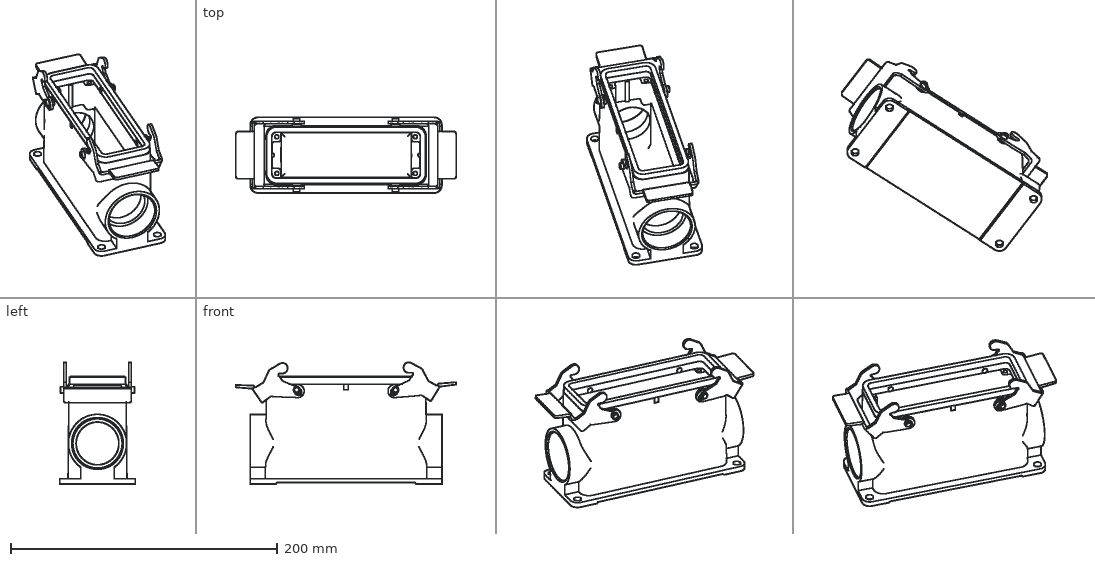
import cadquery as cq
import math

overall_length = 165.8

plate_length = 144.2
plate_width = 57.0
plate_height = 4.1
plate_corner_radius = 6.0
screw_hole_diameter = 5.6
foot_length = 19.4
foot_height = 1.0

body_length = 121.3
body_width = 44.5
body_corner_radius = 7.8
body_top = 75.1
draft_angle = 0.6

rim_length = 119.4
rim_width = 42.3
rim_corner_radius = 7.3
rim_wall = 3.8
dome_rise = 0.8
housing_top = 81.0
dome_base = housing_top - dome_rise
notch_width = 3.3
notch_bottom = 70.8
notch_floor_y = 21.0

mouth_length = rim_length - 2 * rim_wall
mouth_width = rim_width - 2 * rim_wall
mouth_corner_radius = rim_corner_radius - rim_wall
mouth_bottom = 74.6
wall_step = 0.2
upper_length = mouth_length - 4 * wall_step
upper_width = mouth_width - 4 * wall_step
ledge_height = 48.0
well_length = 97.8
well_width = 33.5
well_lip_radius = 2.8
well_floor = 4.1
well_floor_radius = 3.3

post_top = 69.0
post_root = ledge_height - well_lip_radius
post_inner_x = 49.2
post_inner_y = 10.0
post_corner_radius = 2.0
post_fillet_radius = 1.3
post_hole_x = 52.0
post_hole_y = 13.8
post_hole_diameter = 3.0
post_hole_depth = 10.0
drill_tip_angle = 118
rib_diameter = 3.0

entry_height = 30.5
entry_outer_diameter = 43.8
entry_bore_diameter = 37.0
entry_mouth_chamfer = 1.0
entry_bore_depth = 15.3
entry_hole_diameter = 32.0
pedestal_width = 25.2

pin_x = 37.1
pin_z = 70.8
pin_diameter = 4.8
pin_end_y = 28.2
pin_end_chamfer = 0.7
collar_diameter = 7.0
collar_end_y = 22.9
pin_tail_diameter = 4.0
pin_tail_rise = 0.2

lever_width = 50.9
sheet = 2.0
outer_bend_radius = 2.3
inner_bend_radius = 1.7
web_angle = 55.5
web_length = 13.0
web_top = (-33.5, 0.8)
tab_width = 35.8
tab_corner_radius = 2.0
tab_tip_z = 1.8
tab_bend_start = (-33.3, 3.3)
tab_bend_middle = (-32.2, 3.0)
slot_travel = (1.3, -1.8)
right_lever_tilt = 2.6
tilt = math.radians(right_lever_tilt)
tab_tip_x = -(overall_length - 2 * pin_x + tab_tip_z * math.sin(tilt)) / (1 + math.cos(tilt))


def rounded_block(length, width, radius, bottom, top, taper=0):
    """Upright block with rounded corners, centred on the Z axis."""
    outline = cq.Sketch().rect(length, width).vertices().fillet(radius)
    return cq.Workplane("XY", origin=(0, 0, bottom)).placeSketch(outline).extrude(top - bottom, taper=taper)


def x_cylinder(diameter, start, end, taper=0):
    """Cylinder or cone along X at the height of the cable entries."""
    circle = cq.Workplane("YZ", origin=(start, 0, entry_height)).circle(diameter / 2)
    return circle.extrude(end - start, taper=taper)


def pin_section(diameter, start, end):
    """Cylinder along +Y at the origin of a pin."""
    return cq.Workplane("XZ", origin=(0, start, 0)).circle(diameter / 2).extrude(start - end)



def make_base_plate():
    """Plate with four screw holes and a shallow relief between its two feet."""
    hole_x = plate_length / 2 - plate_corner_radius
    hole_y = plate_width / 2 - plate_corner_radius
    plate = rounded_block(plate_length, plate_width, plate_corner_radius, 0, plate_height)
    holes = (
        cq.Workplane("XY")
        .rect(2 * hole_x, 2 * hole_y, forConstruction=True)
        .vertices()
        .circle(screw_hole_diameter / 2)
        .extrude(plate_height)
    )
    foot_x = plate_length / 2 - foot_length
    relief = (
        cq.Workplane("XZ")
        .polyline([
            (-foot_x, 0),
            (-foot_x + foot_height, foot_height),
            (foot_x - foot_height, foot_height),
            (foot_x, 0),
        ])
        .close()
        .extrude(plate_width / 2, both=True)
    )
    return plate.cut(holes).cut(relief)


def make_rim():
    """Straight rim wall closed by a ring with a domed section."""
    wall = rounded_block(rim_length, rim_width, rim_corner_radius, body_top, dome_base)
    middle_outline = cq.Sketch().rect(rim_length - rim_wall, rim_width - rim_wall)
    middle_outline = middle_outline.vertices().fillet(rim_corner_radius - rim_wall / 2)
    path_block = cq.Workplane("XY", origin=(0, 0, dome_base)).placeSketch(middle_outline).extrude(dome_rise)
    path = path_block.faces("<Z").wires()
    dome_y = (rim_width - rim_wall) / 2
    dome = (
        cq.Workplane("YZ", origin=(0, 0, dome_base))
        .moveTo(dome_y - rim_wall / 2, 0)
        .threePointArc((dome_y, dome_rise), (dome_y + rim_wall / 2, 0))
        .close()
        .sweep(path)
    )
    return wall.union(dome)


def make_cable_entries():
    """Round sleeve on each end, standing on a pedestal down to the plate."""
    face_x = plate_length / 2
    root_x = body_length / 2 - body_corner_radius
    sleeve = x_cylinder(entry_outer_diameter, root_x, face_x)
    pedestal = (
        cq.Workplane("XY")
        .box(face_x - root_x, pedestal_width, entry_height - foot_height, centered=(False, True, False))
        .translate((root_x, 0, foot_height))
    )
    entry = sleeve.union(pedestal)
    return entry.union(entry.mirror("YZ"))


def make_well_prism(plane, length, lip_radius):
    """Long prism with rounded lower edges and lips that flare out at the ledge."""
    half = length / 2
    floor_x = half - well_floor_radius
    lip_x = half + lip_radius
    bevel = 1 - math.sqrt(0.5)
    floor_mid = (half - bevel * well_floor_radius, well_floor + bevel * well_floor_radius)
    lip_mid = (half + bevel * lip_radius, ledge_height - bevel * lip_radius)
    return (
        cq.Workplane(plane)
        .moveTo(-floor_x, well_floor)
        .lineTo(floor_x, well_floor)
        .threePointArc(floor_mid, (half, well_floor + well_floor_radius))
        .lineTo(half, ledge_height - lip_radius)
        .threePointArc(lip_mid, (lip_x, ledge_height))
        .lineTo(-lip_x, ledge_height)
        .threePointArc((-lip_mid[0], lip_mid[1]), (-half, ledge_height - lip_radius))
        .lineTo(-half, well_floor + well_floor_radius)
        .threePointArc((-floor_mid[0], floor_mid[1]), (-floor_x, well_floor))
        .close()
        .extrude(plate_length / 2, both=True)
    )


def make_cavity():
    """Opening that narrows in two small steps, then a well below the ledge."""
    end_well = make_well_prism("XZ", well_length, well_lip_radius)
    side_well = make_well_prism("YZ", well_width, (upper_width - well_width) / 2)
    cavity = end_well.intersect(side_well)

    levels = (ledge_height, post_top, mouth_bottom, housing_top)
    for step in range(3):
        inset = (2 - step) * wall_step
        cavity = cavity.union(
            rounded_block(
                mouth_length - 2 * inset,
                mouth_width - 2 * inset,
                mouth_corner_radius - inset,
                levels[step],
                levels[step + 1],
            )
        )
    return cavity


def make_post(side_x, side_y):
    """Screw post in one corner of the cavity, with a drilled blind hole."""
    wall_x = upper_length / 2
    wall_y = upper_width / 2
    outer_x = wall_x + rim_wall / 2
    outer_y = wall_y + rim_wall / 2
    fillet = post_fillet_radius
    corner = post_corner_radius
    post = (
        cq.Workplane("XY", origin=(0, 0, post_root))
        .moveTo(outer_x, outer_y)
        .lineTo(outer_x, post_inner_y - fillet)
        .lineTo(wall_x, post_inner_y - fillet)
        .radiusArc((wall_x - fillet, post_inner_y), -fillet)
        .lineTo(post_inner_x + corner, post_inner_y)
        .radiusArc((post_inner_x, post_inner_y + corner), corner)
        .lineTo(post_inner_x, wall_y - fillet)
        .radiusArc((post_inner_x - fillet, wall_y), -fillet)
        .lineTo(post_inner_x - fillet, outer_y)
        .close()
        .extrude(post_top - post_root)
    )
    radius = post_hole_diameter / 2
    tip_depth = radius / math.tan(math.radians(drill_tip_angle / 2))
    hole = (
        cq.Workplane("XZ")
        .polyline([(0, 0), (radius, 0), (radius, -post_hole_depth), (0, -post_hole_depth - tip_depth)])
        .close()
        .revolve(360, (0, 0, 0), (0, 1, 0))
        .translate((post_hole_x, post_hole_y, post_top))
    )
    post = post.cut(hole)
    if side_x < 0:
        post = post.mirror("YZ")
    if side_y < 0:
        post = post.mirror("XZ")
    return post


def make_rib(side_x):
    """Half-round upright rib in the middle of a cavity end wall."""
    rib = cq.Workplane("XY", origin=(side_x * upper_length / 2, 0, ledge_height))
    return rib.circle(rib_diameter / 2).extrude(post_top - ledge_height)


def make_pin(side_x, side_y):
    """Pivot pin with a collar outside the wall and a tail showing inside it."""
    tail_y = upper_width / 2 - pin_tail_rise
    wall_y = (rim_width - rim_wall) / 2
    shaft = pin_section(pin_diameter, wall_y, pin_end_y).faces(">Y").chamfer(pin_end_chamfer)
    collar = pin_section(collar_diameter, wall_y, collar_end_y)
    tail = pin_section(pin_tail_diameter, tail_y, wall_y)
    pin = shaft.union(collar).union(tail).translate((side_x * pin_x, 0, pin_z))
    if side_y < 0:
        pin = pin.mirror("XZ")
    return pin


def make_housing():
    """Hollow housing with its plate, cable entries, screw posts and pivot pins."""
    body = rounded_block(
        body_length, body_width, body_corner_radius, plate_height, body_top, taper=draft_angle
    )
    housing = make_base_plate().union(body).union(make_rim()).union(make_cable_entries())
    housing = housing.cut(make_cavity())

    for side_x in (-1, 1):
        for side_y in (-1, 1):
            housing = housing.union(make_post(side_x, side_y)).union(make_pin(side_x, side_y))
        housing = housing.union(make_rib(side_x))

    mouth_x = plate_length / 2
    housing = housing.cut(x_cylinder(entry_hole_diameter, -mouth_x, mouth_x))
    bore = x_cylinder(entry_bore_diameter, mouth_x - entry_bore_depth, mouth_x)
    bore = bore.union(x_cylinder(entry_bore_diameter, mouth_x - entry_mouth_chamfer, mouth_x, taper=-45))
    housing = housing.cut(bore).cut(bore.mirror("YZ"))

    for side_y in (-1, 1):
        notch = (
            cq.Workplane("XY")
            .box(notch_width, body_width, body_top - notch_bottom, centered=(True, False, False))
            .translate((0, notch_floor_y, notch_bottom))
        )
        if side_y < 0:
            notch = notch.mirror("XZ")
        housing = housing.cut(notch)
    return housing



def make_lever():
    """Sheet-metal lever for the -X end, with its pivot at the origin."""
    down_x = math.cos(math.radians(web_angle))
    down_z = -math.sin(math.radians(web_angle))
    inward_x, inward_z = -down_z, down_x

    def web_point(along, depth):
        return (
            web_top[0] + along * down_x + depth * inward_x,
            web_top[1] + along * down_z + depth * inward_z,
        )

    half_width = lever_width / 2
    blank = (
        cq.Workplane("XZ")
        .moveTo(*web_top)
        .lineTo(*web_point(0, sheet))
        .lineTo(-30.8, 2.0)
        .lineTo(-25.0, 5.6)
        .lineTo(-21.2, 14.0)
        .threePointArc((-20.4, 15.1), (-18.9, 16.0))
        .lineTo(-12.8, 19.7)
        .threePointArc((-6.8, 15.5), (-10.8, 12.3))
        .lineTo(-13.0, 12.3)
        .threePointArc((-13.8, 11.5), (-13.0, 10.3))
        .lineTo(-10.8, 6.8)
        .lineTo(-5.3, 4.5)
        .lineTo(-2.0, 3.1)
        .threePointArc((5.6, -1.0), (0.7, -5.8))
        .lineTo(-16.9, -5.1)
        .lineTo(-19.4, -4.8)
        .lineTo(*web_point(web_length, sheet))
        .lineTo(*web_point(web_length, 0))
        .close()
        .extrude(half_width, both=True)
    )
    web_middle = web_point(web_length / 2, 0)
    for side_y in (-1, 1):
        corner = cq.selectors.NearestToPointSelector((web_middle[0], side_y * half_width, web_middle[1]))
        blank = blank.edges(corner).fillet(outer_bend_radius)

    inner_middle = web_point(0, sheet)
    reach = 66.3
    space = (
        cq.Workplane("XZ")
        .polyline([
            web_point(-reach, sheet),
            web_point(-reach, reach),
            web_point(reach, reach),
            web_point(reach, sheet),
        ])
        .close()
        .extrude(half_width - sheet, both=True)
        .faces(cq.selectors.NearestToPointSelector((inner_middle[0], 0, inner_middle[1])))
        .edges("#Y")
        .fillet(inner_bend_radius)
    )

    tab = (
        cq.Workplane("XZ")
        .moveTo(*web_top)
        .lineTo(tab_tip_x, tab_tip_z)
        .lineTo(tab_tip_x, tab_tip_z + sheet)
        .lineTo(*tab_bend_start)
        .threePointArc(tab_bend_middle, web_point(0, sheet))
        .close()
        .extrude(tab_width / 2, both=True)
        .edges("|Z and <X")
        .fillet(tab_corner_radius)
    )

    slot = (
        cq.Workplane("XZ", origin=(slot_travel[0] / 2, 0, slot_travel[1] / 2))
        .slot2D(
            math.hypot(*slot_travel) + pin_diameter,
            pin_diameter,
            math.degrees(math.atan2(slot_travel[1], slot_travel[0])),
        )
        .extrude(lever_width, both=True)
    )
    return blank.cut(space).union(tab).cut(slot)


housing = make_housing()

lever = make_lever()
left_lever = lever.translate((-pin_x, 0, pin_z))
right_lever = (
    lever.mirror("YZ")
    .rotate((0, 0, 0), (0, 1, 0), -right_lever_tilt)
    .translate((pin_x, 0, pin_z))
)

result = cq.Compound.makeCompound([
    *housing.solids().vals(),
    *left_lever.solids().vals(),
    *right_lever.solids().vals(),
])